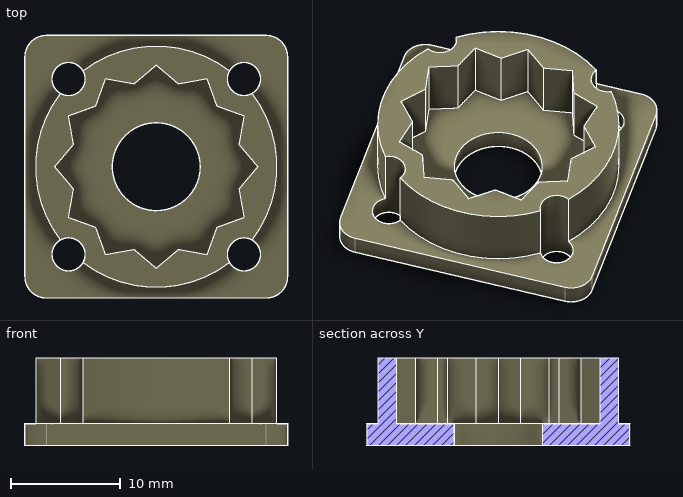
import cadquery as cq
import math

plate_side = 24.0
plate_thickness = plate_side / 12
corner_radius = plate_side / 12
bore_diameter = plate_side / 3

total_height = plate_side / 3
ring_height = total_height - plate_thickness
ring_diameter = 22.0

point_count = 12
star_tip_radius = 9.26
star_root_radius = 7.82

screw_diameter = plate_side / 8
screw_spacing = plate_side * 2 / 3


def star_points():
    """Alternate tips and roots around the axis, with the first tip on +X."""
    half_pitch = math.pi / point_count
    points = []
    for index in range(2 * point_count):
        radius = star_tip_radius if index % 2 == 0 else star_root_radius
        angle = index * half_pitch
        points.append((radius * math.cos(angle), radius * math.sin(angle)))
    return points


def make_plate():
    return (
        cq.Workplane("XY")
        .rect(plate_side, plate_side)
        .extrude(plate_thickness)
        .edges("|Z")
        .fillet(corner_radius)
    )


def make_ring():
    plate_top = cq.Workplane("XY").workplane(offset=plate_thickness)
    cylinder = plate_top.circle(ring_diameter / 2).extrude(ring_height)
    socket = plate_top.polyline(star_points()).close().extrude(ring_height)
    return cylinder.cut(socket)


def make_through_cuts():
    screws = (
        cq.Workplane("XY")
        .rect(screw_spacing, screw_spacing, forConstruction=True)
        .vertices()
        .circle(screw_diameter / 2)
        .extrude(total_height)
    )
    bore = cq.Workplane("XY").circle(bore_diameter / 2).extrude(plate_thickness)
    return screws.union(bore)


result = make_plate().union(make_ring()).cut(make_through_cuts())